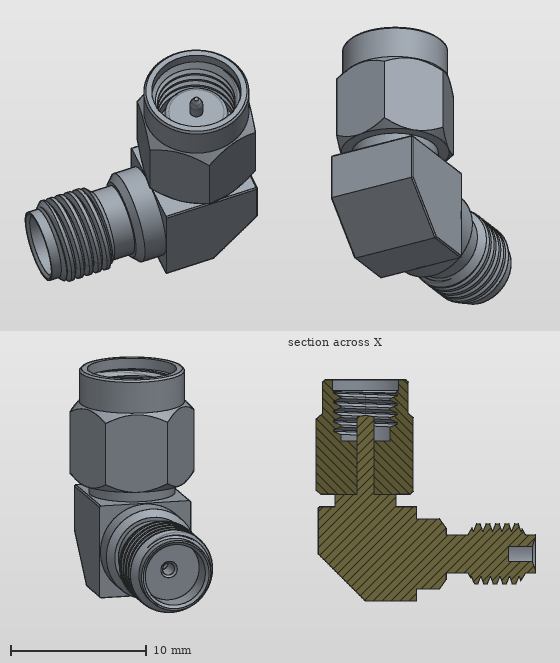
import cadquery as cq
import math


THREAD_PITCH = 4.24 / 6
THREAD_FLANK_SLOPE = math.tan(math.radians(30))
GROOVE_OVERSHOOT = 0.05

BLOCK_HALF = 3.498
BLOCK_FRONT = 3.8
BLOCK_EDGE_CHAMFER = 0.1

COLLAR_RADIUS = 3.44
COLLAR_END = 6.0
COLLAR_CHAMFER = 0.5
TUBE_RADIUS = 2.66
TUBE_END = 12.6
THREAD_RADIUS = 3.17
THREAD_START = 7.59
THREAD_END = 11.85
THREAD_DEPTH = 0.35
THREAD_ROOT_WIDTH = 0.02
THREAD_TURNS = 7
THREAD_PHASE = 7.22
SOCKET_BORE_RADIUS = 2.3
SOCKET_BORE_DEPTH = 2.0
SOCKET_MOUTH_CHAMFER = 0.22
CONTACT_HOLE_RADIUS = 0.45
CONTACT_COUNTERSINK_RADIUS = 0.63
CONTACT_HOLE_DEPTH = 2.03

NECK_RADIUS = 3.2
CORE_RADIUS = 2.34
CORE_TOP = 10.33
CORE_FILLET = 0.29
PIN_RADIUS = 0.47
PIN_SHOULDER_START = 11.16
PIN_SHOULDER_RADIUS = 0.81
PIN_TAPER_ANGLE = math.radians(31)
PIN_TIP_RADIUS = 0.17

NUT_BOTTOM = 4.4
NUT_TOP = 12.9
HEX_TOP = 10.4
HEX_ACROSS_FLATS = 8.0
HEX_TURN = -10.0
NUT_SLEEVE_RADIUS = 3.9
NUT_RIM_CHAMFER = 0.15
NUT_FLOOR = 8.37
NUT_MOUTH_RADIUS = 3.3
NUT_MOUTH_DEPTH = 0.8
NUT_MINOR_RADIUS = 2.88
NUT_THREAD_DEPTH = 0.37
NUT_THREAD_ROOT_WIDTH = 0.1
NUT_THREAD_TURNS = 5
NUT_THREAD_PHASE = NUT_FLOOR + 0.68


def revolve_profile(points):
    """Solid of revolution about Z from (radius, height) points."""
    return cq.Workplane("XZ").polyline(points).close().revolve(360, (0, 0), (0, 1))


def cut_thread(blank, open_radius, root_radius, root_width, start, turns):
    """Cut a right-hand V groove about Z, one turn at a time, centred at `start` on the +X side."""
    overshoot = math.copysign(GROOVE_OVERSHOOT, open_radius - root_radius)
    mouth_radius = open_radius + overshoot
    half_root = root_width / 2
    half_mouth = half_root + abs(mouth_radius - root_radius) * THREAD_FLANK_SLOPE
    helix = cq.Wire.makeHelix(THREAD_PITCH, THREAD_PITCH, root_radius)
    one_turn = (
        cq.Workplane("XZ")
        .polyline([
            (root_radius, -half_root),
            (mouth_radius, -half_mouth),
            (mouth_radius, half_mouth),
            (root_radius, half_root),
        ])
        .close()
        .sweep(cq.Workplane(obj=helix), isFrenet=True)
    )
    threaded = blank
    for turn in range(turns):
        threaded = threaded.cut(one_turn.translate((0, 0, start + turn * THREAD_PITCH)))
    return threaded


def elbow_block():
    """Square block with its lower back corner cut away at 45 degrees."""
    block = (
        cq.Workplane("YZ", origin=(-BLOCK_HALF, 0, 0))
        .polyline([
            (-BLOCK_FRONT, -BLOCK_HALF),
            (0, -BLOCK_HALF),
            (BLOCK_HALF, 0),
            (BLOCK_HALF, BLOCK_HALF),
            (-BLOCK_FRONT, BLOCK_HALF),
        ])
        .close()
        .extrude(2 * BLOCK_HALF)
    )
    side_edges = "(<X or >X) and (not <Y)"
    back_top_edge = "|X and >Y and >Z"
    return block.edges(f"({side_edges}) or ({back_top_edge})").chamfer(BLOCK_EDGE_CHAMFER)


def socket_barrel():
    """Collar, threaded tube and bore of the socket, built along +Z."""
    thread_rise = THREAD_RADIUS - TUBE_RADIUS
    barrel = revolve_profile([
        (0, BLOCK_FRONT),
        (COLLAR_RADIUS, BLOCK_FRONT),
        (COLLAR_RADIUS, COLLAR_END - COLLAR_CHAMFER),
        (COLLAR_RADIUS - COLLAR_CHAMFER, COLLAR_END),
        (TUBE_RADIUS, COLLAR_END),
        (TUBE_RADIUS, THREAD_START),
        (THREAD_RADIUS, THREAD_START + thread_rise),
        (THREAD_RADIUS, THREAD_END - thread_rise),
        (TUBE_RADIUS, THREAD_END),
        (TUBE_RADIUS, TUBE_END),
        (0, TUBE_END),
    ])
    threaded_barrel = cut_thread(
        barrel, THREAD_RADIUS, THREAD_RADIUS - THREAD_DEPTH, THREAD_ROOT_WIDTH, THREAD_PHASE, THREAD_TURNS
    )
    return threaded_barrel.cut(socket_bore())


def socket_bore():
    """Chamfered bore with a countersunk contact hole in its floor, built along +Z."""
    floor = TUBE_END - SOCKET_BORE_DEPTH
    countersink = CONTACT_COUNTERSINK_RADIUS - CONTACT_HOLE_RADIUS
    return revolve_profile([
        (0, floor - CONTACT_HOLE_DEPTH),
        (CONTACT_HOLE_RADIUS, floor - CONTACT_HOLE_DEPTH),
        (CONTACT_HOLE_RADIUS, floor - countersink),
        (CONTACT_COUNTERSINK_RADIUS, floor),
        (SOCKET_BORE_RADIUS, floor),
        (SOCKET_BORE_RADIUS, TUBE_END - SOCKET_MOUTH_CHAMFER),
        (SOCKET_BORE_RADIUS + SOCKET_MOUTH_CHAMFER, TUBE_END),
        (0, TUBE_END),
    ])


def plug_core():
    """Neck under the nut and the round-edged core that passes through it."""
    neck = cq.Workplane("XY").circle(NECK_RADIUS).extrude(NUT_BOTTOM)
    core = cq.Workplane("XY").circle(CORE_RADIUS).extrude(CORE_TOP)
    core = core.faces(">Z").edges().fillet(CORE_FILLET)
    return neck.union(core)


def center_pin():
    """Contact pin with a rounded shoulder running into a tapered, flat tip."""

    def shoulder_point(angle):
        radius = PIN_RADIUS - PIN_SHOULDER_RADIUS * (1 - math.cos(angle))
        return radius, PIN_SHOULDER_START + PIN_SHOULDER_RADIUS * math.sin(angle)

    taper_radius, taper_start = shoulder_point(PIN_TAPER_ANGLE)
    tip = taper_start + (taper_radius - PIN_TIP_RADIUS) / math.tan(PIN_TAPER_ANGLE)
    return (
        cq.Workplane("XZ")
        .moveTo(0, NUT_BOTTOM)
        .lineTo(PIN_RADIUS, NUT_BOTTOM)
        .lineTo(PIN_RADIUS, PIN_SHOULDER_START)
        .threePointArc(shoulder_point(PIN_TAPER_ANGLE / 2), (taper_radius, taper_start))
        .lineTo(PIN_TIP_RADIUS, tip)
        .lineTo(0, tip)
        .close()
        .revolve(360, (0, 0), (0, 1))
    )


def make_adapter_body():
    """Elbow block with the socket barrel, plug core and pin as one solid."""
    barrel = socket_barrel().rotate((0, 0, 0), (1, 0, 0), 90)
    return elbow_block().union(barrel).union(plug_core()).union(center_pin())


def nut_outside():
    """Hexagon chamfered at both ends, with a round sleeve above it."""
    corner_radius = HEX_ACROSS_FLATS / math.sqrt(3)
    flat_radius = HEX_ACROSS_FLATS / 2
    bottom_rise = corner_radius - flat_radius
    top_rise = corner_radius - NUT_SLEEVE_RADIUS
    hexagon = (
        cq.Workplane("XY", origin=(0, 0, NUT_BOTTOM))
        .polygon(6, 2 * corner_radius)
        .extrude(HEX_TOP - NUT_BOTTOM)
        .rotate((0, 0, 0), (0, 0, 1), HEX_TURN)
    )
    chamfer_envelope = revolve_profile([
        (0, NUT_BOTTOM),
        (flat_radius, NUT_BOTTOM),
        (corner_radius, NUT_BOTTOM + bottom_rise),
        (corner_radius, HEX_TOP - top_rise),
        (NUT_SLEEVE_RADIUS, HEX_TOP),
        (0, HEX_TOP),
    ])
    sleeve = (
        cq.Workplane("XY", origin=(0, 0, NUT_BOTTOM))
        .circle(NUT_SLEEVE_RADIUS)
        .extrude(NUT_TOP - NUT_BOTTOM)
        .faces(">Z")
        .edges()
        .chamfer(NUT_RIM_CHAMFER)
    )
    return hexagon.intersect(chamfer_envelope).union(sleeve)


def nut_bore():
    """Hole for the plug core, threaded bore, lead-in cone and plain mouth."""
    cone_top = NUT_TOP - NUT_MOUTH_DEPTH
    cone_bottom = cone_top - (NUT_MOUTH_RADIUS - NUT_MINOR_RADIUS)
    return revolve_profile([
        (0, NUT_BOTTOM),
        (CORE_RADIUS, NUT_BOTTOM),
        (CORE_RADIUS, NUT_FLOOR),
        (NUT_MINOR_RADIUS, NUT_FLOOR),
        (NUT_MINOR_RADIUS, cone_bottom),
        (NUT_MOUTH_RADIUS, cone_top),
        (NUT_MOUTH_RADIUS, NUT_TOP),
        (0, NUT_TOP),
    ])


def make_nut():
    """Hexagonal coupling nut with an internal thread."""
    return cut_thread(
        nut_outside().cut(nut_bore()),
        NUT_MINOR_RADIUS,
        NUT_MINOR_RADIUS + NUT_THREAD_DEPTH,
        NUT_THREAD_ROOT_WIDTH,
        NUT_THREAD_PHASE,
        NUT_THREAD_TURNS,
    )


adapter_body = make_adapter_body()
nut = make_nut()

result = cq.Compound.makeCompound([adapter_body.solids().val(), nut.solids().val()])